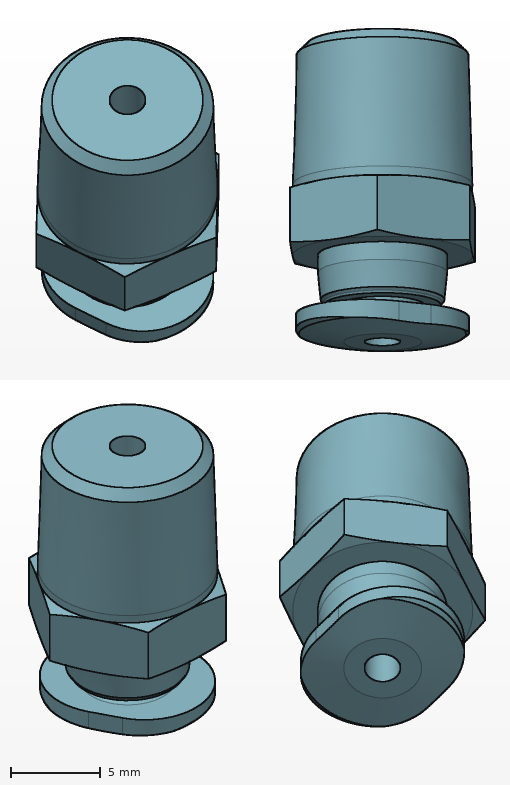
import cadquery as cq
import math

total_height = 16.9
bore_diameter = 2.0

flange_width = 7.86
flange_flat_length = 2.0
flange_top = 1.45
flange_face_radius = 2.16
flange_cone_radius = 4.65
flange_cone_height = 0.45
flange_bevel_height = 0.68

neck_radius = 4.65 / 2
neck_flare = 0.39

sleeve_radius = 7.2 / 2
sleeve_straight_bottom = 3.92
sleeve_taper_bottom = 2.38
sleeve_taper_radius = 3.45
sleeve_bottom = 2.08
sleeve_end_radius = 3.25
sleeve_corner_radius = 6.62 / 2
sleeve_corner_height = 2.23

hex_across_flats = 10.0
hex_bottom = 4.92
hex_top = 8.42
hex_chamfer_angle = 15.0

body_radius = hex_across_flats / 2
body_taper_start = 8.92
body_taper_end_radius = 4.78
body_chamfer = 0.59

hex_corner_radius = body_radius / math.cos(math.radians(30))
hex_corner_drop = (hex_corner_radius - body_radius) * math.tan(math.radians(hex_chamfer_angle))
flange_half_length = (flange_width + flange_flat_length) / 2


def revolve_outline(outline):
    """Close an XZ outline and turn it around the Z axis."""
    return outline.close().revolve(360, (0, 0, 0), (0, 1, 0))


def make_flange():
    """Oval plate with a beveled, shallow conical underside."""
    oval = cq.Workplane("XY").slot2D(2 * flange_half_length, flange_width).extrude(flange_top)
    underside = revolve_outline(
        cq.Workplane("XZ")
        .moveTo(0, 0)
        .lineTo(flange_face_radius, 0)
        .lineTo(flange_cone_radius, flange_cone_height)
        .lineTo(flange_half_length, flange_bevel_height)
        .lineTo(flange_half_length, flange_top)
        .lineTo(0, flange_top)
    )
    return oval.intersect(underside)


def make_neck_and_sleeve():
    """Flared neck and the tapered sleeve that rises into the hexagon."""
    return revolve_outline(
        cq.Workplane("XZ")
        .moveTo(0, flange_top)
        .lineTo(neck_radius + neck_flare, flange_top)
        .radiusArc((neck_radius, flange_top + neck_flare), neck_flare)
        .lineTo(neck_radius, sleeve_bottom)
        .lineTo(sleeve_end_radius, sleeve_bottom)
        .lineTo(sleeve_corner_radius, sleeve_corner_height)
        .lineTo(sleeve_taper_radius, sleeve_taper_bottom)
        .lineTo(sleeve_radius, sleeve_straight_bottom)
        .lineTo(sleeve_radius, hex_bottom)
        .lineTo(0, hex_bottom)
    )


def make_hexagon():
    """Hexagonal nut with its corners beveled at both ends."""
    prism = (
        cq.Workplane("XY", origin=(0, 0, hex_bottom))
        .polygon(6, 2 * hex_corner_radius)
        .extrude(hex_top - hex_bottom)
    )
    bevels = revolve_outline(
        cq.Workplane("XZ")
        .moveTo(0, hex_bottom)
        .lineTo(body_radius, hex_bottom)
        .lineTo(hex_corner_radius, hex_bottom + hex_corner_drop)
        .lineTo(hex_corner_radius, hex_top - hex_corner_drop)
        .lineTo(body_radius, hex_top)
        .lineTo(0, hex_top)
    )
    return prism.intersect(bevels)


def make_body():
    """Upper body: short straight collar, slight taper and end chamfer."""
    return revolve_outline(
        cq.Workplane("XZ")
        .moveTo(0, hex_top)
        .lineTo(body_radius, hex_top)
        .lineTo(body_radius, body_taper_start)
        .lineTo(body_taper_end_radius, total_height - body_chamfer)
        .lineTo(body_taper_end_radius - body_chamfer, total_height)
        .lineTo(0, total_height)
    )


bore = cq.Workplane("XY").circle(bore_diameter / 2).extrude(total_height)
solid_part = make_flange().union(make_neck_and_sleeve()).union(make_hexagon()).union(make_body())
result = solid_part.cut(bore)